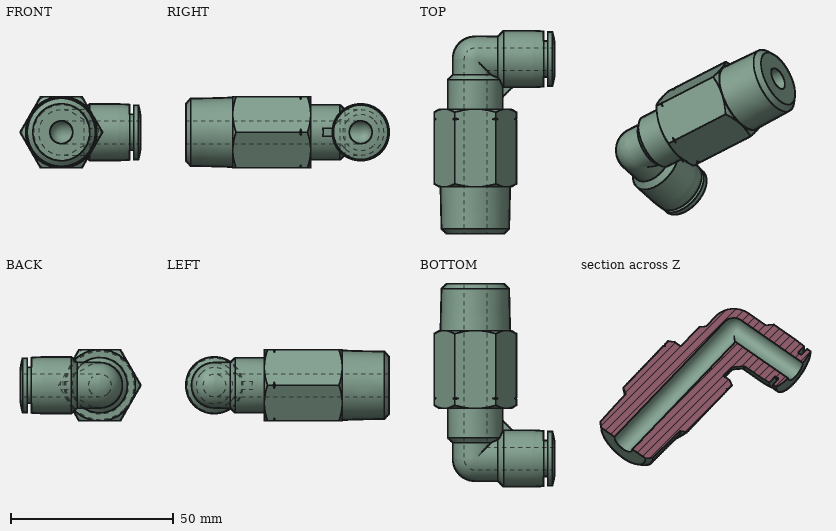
import cadquery as cq
import math

stem_end_radius = 8.8
stem_tip_radius = 10.5
stem_root_radius = 10.8
stem_chamfer_length = 1.6

hex_start = 14.5
hex_end = 38.5
hex_flats = 22.0
hex_corner_radius = hex_flats / math.sqrt(3)
hex_chamfer_radius = hex_flats / 2
hex_chamfer_length = (hex_corner_radius - hex_chamfer_radius) * math.tan(math.radians(30))
corner_groove_radius = 12.25
corner_groove_width = 0.6
corner_groove_position = 35.45

collar_radius = 8.55
collar_end = 47.55
neck_radius = 7.0
neck_start = collar_end + collar_radius - neck_radius
arm_radius = 8.8
arm_axis_y = 62.75 - arm_radius
bore_radius = 3.5

arm_neck_end = 6.95
arm_body_start = arm_neck_end + arm_radius - neck_radius
arm_taper_start = 17.6
sleeve_start = 19.75
sleeve_end = 21.1
sleeve_start_radius = 8.65
sleeve_end_radius = 8.55
release_neck_radius = 5.6
flange_start = 22.3
flange_rim_end = 23.8
flange_radius = 8.4
nose_middle = 24.15
nose_middle_radius = 7.0
arm_end = 37.3 - hex_corner_radius

web_thickness = 2.5
web_reach = 11.35


def revolve_about_y(profile):
    """Revolve (radius, y) points, closed on the Y axis, into a solid."""
    points = [(0, profile[0][1])] + profile + [(0, profile[-1][1])]
    return cq.Workplane("XY").polyline(points).close().revolve(360, (0, 0, 0), (0, 1, 0))


def revolve_arm(profile):
    """Revolve (x, radius) points about the arm axis."""
    points = [(profile[0][0], 0)] + profile + [(profile[-1][0], 0)]
    outline = cq.Workplane("XY", origin=(0, arm_axis_y, 0)).polyline(points).close()
    return outline.revolve(360, (0, 0, 0), (1, 0, 0))


def make_stem():
    return revolve_about_y([
        (stem_end_radius, 0),
        (stem_tip_radius, stem_chamfer_length),
        (stem_root_radius, hex_start),
    ])


def make_hexagon():
    prism = (
        cq.Workplane("XZ", origin=(0, hex_start, 0))
        .polygon(6, 2 * hex_corner_radius)
        .extrude(hex_start - hex_end)
    )
    groove_start = corner_groove_position - corner_groove_width / 2
    groove_end = corner_groove_position + corner_groove_width / 2
    envelope = revolve_about_y([
        (hex_chamfer_radius, hex_start),
        (hex_corner_radius, hex_start + hex_chamfer_length),
        (hex_corner_radius, groove_start),
        (corner_groove_radius, corner_groove_position),
        (hex_corner_radius, groove_end),
        (hex_corner_radius, hex_end - hex_chamfer_length),
        (hex_chamfer_radius, hex_end),
    ])
    return prism.intersect(envelope)


def make_collar():
    return revolve_about_y([
        (collar_radius, hex_end),
        (collar_radius, collar_end),
        (neck_radius, neck_start),
        (neck_radius, arm_axis_y),
    ])


def make_elbow_ball(radius):
    return cq.Workplane("XY", origin=(0, arm_axis_y, 0)).sphere(radius)


def make_arm():
    return revolve_arm([
        (0, neck_radius),
        (arm_neck_end, neck_radius),
        (arm_body_start, arm_radius),
        (arm_taper_start, arm_radius),
        (sleeve_start, sleeve_start_radius),
        (sleeve_end, sleeve_end_radius),
        (sleeve_end, release_neck_radius),
        (flange_start, release_neck_radius),
    ])


def make_release_flange():
    """Release flange with a gently domed nose running in to the bore."""
    outline = (
        cq.Workplane("XY", origin=(0, arm_axis_y, 0))
        .moveTo(flange_start, 0)
        .lineTo(flange_start, flange_radius)
        .lineTo(flange_rim_end, flange_radius)
        .threePointArc((nose_middle, nose_middle_radius), (arm_end, bore_radius))
        .lineTo(arm_end, 0)
        .close()
    )
    return outline.revolve(360, (0, 0, 0), (1, 0, 0))


def make_web():
    """Triangular web with a 45 degree edge, rooted inside the collar and the arm."""
    web_top = arm_axis_y - arm_radius
    overlap = 1.25
    low_x = collar_radius - overlap
    low_y = web_top - (web_reach - low_x)
    return (
        cq.Workplane("XY")
        .polyline([
            (low_x, low_y),
            (web_reach + overlap, web_top + overlap),
            (low_x, web_top + overlap),
        ])
        .close()
        .extrude(web_thickness / 2, both=True)
    )


def make_bore():
    stem_bore = revolve_about_y([(bore_radius, 0), (bore_radius, arm_axis_y)])
    arm_bore = revolve_arm([(0, bore_radius), (arm_end, bore_radius)])
    return stem_bore.union(arm_bore).union(make_elbow_ball(bore_radius))


body = make_stem().union(make_hexagon()).union(make_collar())
body = body.union(make_elbow_ball(neck_radius)).union(make_arm())
body = body.union(make_release_flange()).union(make_web())
result = body.cut(make_bore())